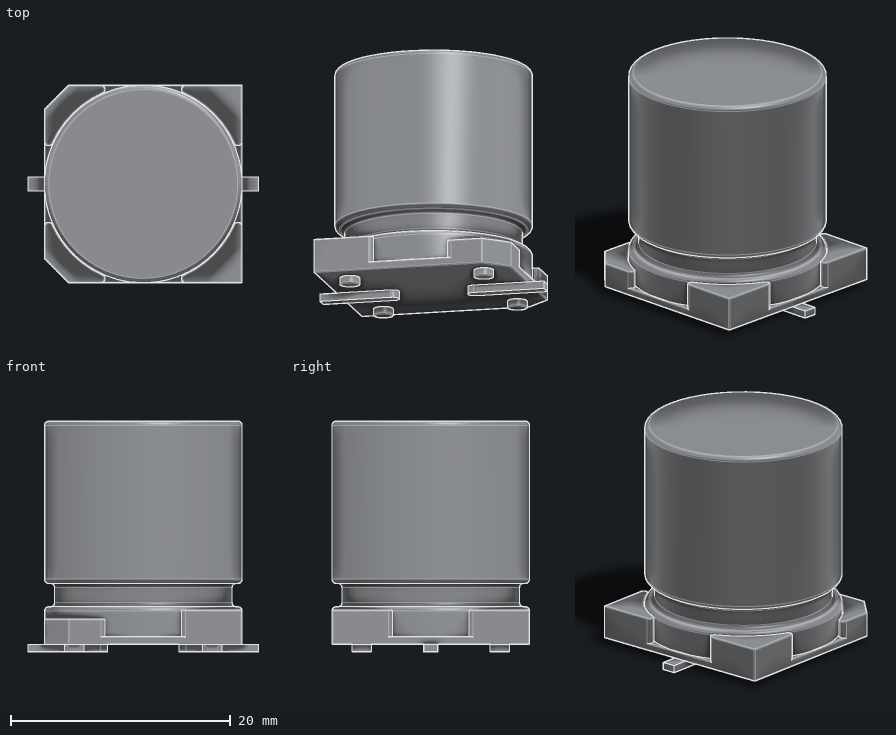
import cadquery as cq

height = 21.0
length = 21.0
base_width = 18.0
edge_radius = 0.08

can_radius = base_width / 2
can_top_fillet = 0.4
groove_radius = 16.2 / 2
groove_bottom = 4.12
groove_top = 6.22
rim_fillet = 0.4
root_fillet = 0.35

base_bottom = 0.7
ledge_height = 1.4
low_block_height = 3.0
tall_block_height = 3.8
corner_chamfer = 2.2
notch_half_width = 3.49
block_tip_fillet = 0.38
pocket_radius = 9.05

foot_diameter = 1.8
foot_offset = 6.28
terminal_width = 1.3
terminal_inner_end = 3.23

half_width = base_width / 2


def can():
    """Round can with a rolled groove near its foot, revolved about Z."""
    profile = (
        cq.Workplane("XZ")
        .moveTo(0, ledge_height)
        .lineTo(can_radius, ledge_height)
        .lineTo(can_radius, groove_bottom - rim_fillet)
        .radiusArc((can_radius - rim_fillet, groove_bottom), -rim_fillet)
        .lineTo(groove_radius + root_fillet, groove_bottom)
        .radiusArc((groove_radius, groove_bottom + root_fillet), root_fillet)
        .lineTo(groove_radius, groove_top - root_fillet)
        .radiusArc((groove_radius + root_fillet, groove_top), root_fillet)
        .lineTo(can_radius - rim_fillet, groove_top)
        .radiusArc((can_radius, groove_top + rim_fillet), -rim_fillet)
        .lineTo(can_radius, height - can_top_fillet)
        .radiusArc((can_radius - can_top_fillet, height), -can_top_fillet)
        .lineTo(0, height)
        .close()
    )
    return profile.revolve(360, (0, 0, 0), (0, 1, 0))


def base_prism(bottom, top):
    """Square prism with both -X corners cut off and its upright edges rounded."""
    prism = (
        cq.Workplane("XY")
        .workplane(offset=bottom)
        .rect(base_width, base_width)
        .extrude(top - bottom)
    )
    prism = prism.edges("|Z and <X").chamfer(corner_chamfer)
    return prism.edges("|Z").fillet(edge_radius)


def corner_block(x_side, y_side, top):
    """Corner of the base that stands up around the can, between two notches."""
    bottom = base_bottom + edge_radius
    side = half_width - notch_half_width
    block = (
        cq.Workplane("XY")
        .workplane(offset=bottom)
        .moveTo(notch_half_width, notch_half_width)
        .rect(side, side, centered=False)
        .extrude(top - bottom)
    )
    pocket = cq.Workplane("XY").workplane(offset=bottom).circle(pocket_radius).extrude(top - bottom)
    block = block.cut(pocket)
    block = block.edges("|Z and (not >(1, 1, 0))").fillet(block_tip_fillet)
    if x_side < 0:
        block = block.mirror("YZ")
    if y_side < 0:
        block = block.mirror("XZ")
    block = block.intersect(base_prism(bottom, top))
    return block.faces(">Z").edges().fillet(edge_radius)


def base():
    """Thin plate with low blocks on the cut corners and tall ones on the square corners."""
    body = base_prism(base_bottom, ledge_height)
    body = body.faces("<Z or >Z").edges().fillet(edge_radius)
    for x_side, top in ((-1, low_block_height), (1, tall_block_height)):
        for y_side in (-1, 1):
            body = body.union(corner_block(x_side, y_side, top))
    return body


def feet():
    """Four round feet under the base, rounded at both rims."""
    discs = (
        cq.Workplane("XY")
        .rect(2 * foot_offset, 2 * foot_offset, forConstruction=True)
        .vertices()
        .circle(foot_diameter / 2)
        .extrude(base_bottom)
    )
    return discs.faces("<Z or >Z").edges().fillet(edge_radius)


def terminal(x_side):
    """Flat lead, square at its outer end and fully rounded at its inner end."""
    half = terminal_width / 2
    straight_start = x_side * (terminal_inner_end + half)
    outer_end = x_side * length / 2
    return (
        cq.Workplane("XY")
        .moveTo(straight_start, -half)
        .lineTo(outer_end, -half)
        .lineTo(outer_end, half)
        .lineTo(straight_start, half)
        .threePointArc((x_side * terminal_inner_end, 0), (straight_start, -half))
        .close()
        .extrude(base_bottom)
    )


result = base().union(can()).union(feet()).union(terminal(-1)).union(terminal(1))